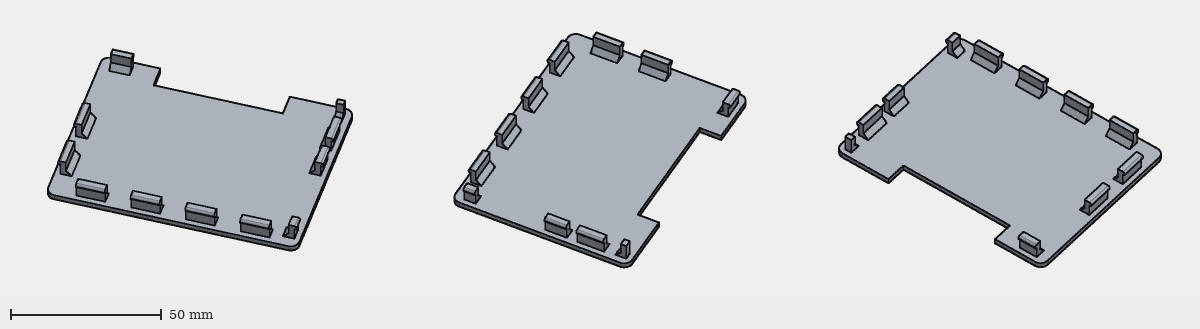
import cadquery as cq

LENGTH = 87.0
WIDTH = 66.0
HEIGHT = 8.0
PLATE_THICKNESS = 2.0
CORNER_RADIUS = 3.0

NOTCH_LEFT = -23.7
NOTCH_RIGHT = 21.1
NOTCH_DEPTH = 8.0

WALL_OUTER = 2.0
WALL_INNER = 4.0
FOOT_SIZE = 2.0
BEAD_TIP = 1.2
BEAD_HEIGHT = 1.7

CLIP_LENGTH = 10.0
FRONT_CLIP_COUNT = 4
FRONT_CLIP_PITCH = 19.0
LEFT_CLIPS = [(0.0, CLIP_LENGTH), (-18.0, CLIP_LENGTH)]
RIGHT_CLIPS = [(18.0, CLIP_LENGTH), (5.1, 8.0), (-27.1, 4.2)]
BACK_CLIPS = [(-36.1, 7.1)]
BACK_POST = (39.7, 2.6)


def make_plate():
    plate = cq.Workplane("XY").box(LENGTH, WIDTH, PLATE_THICKNESS, centered=(True, True, False))
    plate = plate.edges("|Z").fillet(CORNER_RADIUS)
    notch = (
        cq.Workplane("XY")
        .box(NOTCH_RIGHT - NOTCH_LEFT, NOTCH_DEPTH, PLATE_THICKNESS, centered=False)
        .translate((NOTCH_LEFT, WIDTH / 2 - NOTCH_DEPTH, 0))
    )
    return plate.cut(notch)


def make_clip(length, edge_distance, angle, along, beaded=True):
    """Clip on the -Y edge, shifted along it, then turned about Z to another edge."""
    root = PLATE_THICKNESS / 2
    section = (
        cq.Workplane("YZ")
        .moveTo(WALL_OUTER, root)
        .lineTo(WALL_INNER + FOOT_SIZE, root)
        .lineTo(WALL_INNER + FOOT_SIZE, PLATE_THICKNESS)
        .lineTo(WALL_INNER, PLATE_THICKNESS + FOOT_SIZE)
        .lineTo(WALL_INNER, HEIGHT)
        .lineTo(WALL_OUTER, HEIGHT)
    )
    if beaded:
        section = section.threePointArc(
            (BEAD_TIP, HEIGHT - BEAD_HEIGHT / 2), (WALL_OUTER, HEIGHT - BEAD_HEIGHT)
        )
    clip = section.close().extrude(length / 2, both=True)
    clip = clip.translate((along, -edge_distance, 0))
    return clip.rotate((0, 0, 0), (0, 0, 1), angle)


result = make_plate()

for index in range(FRONT_CLIP_COUNT):
    x = (index - (FRONT_CLIP_COUNT - 1) / 2) * FRONT_CLIP_PITCH
    result = result.union(make_clip(CLIP_LENGTH, WIDTH / 2, 0, x))

for y, length in RIGHT_CLIPS:
    result = result.union(make_clip(length, LENGTH / 2, 90, y))
for y, length in LEFT_CLIPS:
    result = result.union(make_clip(length, LENGTH / 2, -90, -y))

for x, length in BACK_CLIPS:
    result = result.union(make_clip(length, WIDTH / 2, 180, -x))
post_x, post_length = BACK_POST
result = result.union(make_clip(post_length, WIDTH / 2, 180, -post_x, beaded=False))